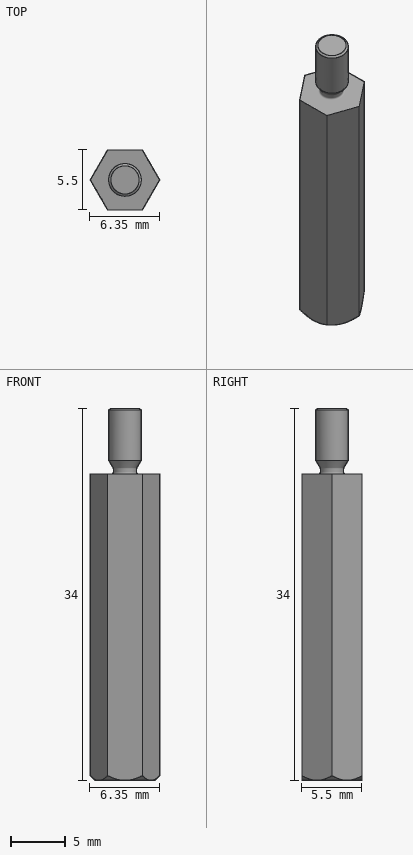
import cadquery as cq
import math

TOTAL_HEIGHT = 34.0
STUD_HEIGHT = 6.0
BODY_HEIGHT = TOTAL_HEIGHT - STUD_HEIGHT
ACROSS_FLATS = 5.5
ACROSS_CORNERS = ACROSS_FLATS / math.cos(math.radians(30))
BOTTOM_FACE_DIAMETER = ACROSS_FLATS

STUD_RADIUS = 3.0 / 2
NECK_RADIUS = 2.15 / 2
NECK_FILLET = 0.153
NECK_HEIGHT = 0.5
RELIEF_ANGLE = 30.0
TIP_CHAMFER_WIDTH = 0.2
TIP_CHAMFER_HEIGHT = 0.15


def make_body():
    """Hexagonal prism whose lower corners are trimmed by a 45 degree cone."""
    prism = cq.Workplane("XY").polygon(6, ACROSS_CORNERS).extrude(BODY_HEIGHT)
    bottom_radius = BOTTOM_FACE_DIAMETER / 2
    envelope = (
        cq.Workplane("XZ")
        .moveTo(0, 0)
        .lineTo(bottom_radius, 0)
        .lineTo(bottom_radius + BODY_HEIGHT, BODY_HEIGHT)
        .lineTo(0, BODY_HEIGHT)
        .close()
        .revolve(360, (0, 0), (0, 1))
    )
    return prism.intersect(envelope)


def make_stud():
    """Revolved stud: filleted neck, tapered relief, shank and chamfered tip."""
    angle = math.radians(RELIEF_ANGLE)
    neck_top = BODY_HEIGHT + NECK_HEIGHT
    shank_bottom = neck_top + (STUD_RADIUS - NECK_RADIUS) / math.tan(angle)

    tangent_length = NECK_FILLET * math.tan(angle / 2)
    blend_start = neck_top - tangent_length
    fillet_center = NECK_RADIUS + NECK_FILLET

    def on_upper_fillet(turn):
        return (
            fillet_center - NECK_FILLET * math.cos(turn),
            blend_start + NECK_FILLET * math.sin(turn),
        )

    lower_fillet_middle = (
        fillet_center - NECK_FILLET * math.cos(math.pi / 4),
        BODY_HEIGHT + NECK_FILLET * (1 - math.sin(math.pi / 4)),
    )
    return (
        cq.Workplane("XZ")
        .moveTo(0, BODY_HEIGHT)
        .lineTo(fillet_center, BODY_HEIGHT)
        .threePointArc(lower_fillet_middle, (NECK_RADIUS, BODY_HEIGHT + NECK_FILLET))
        .lineTo(NECK_RADIUS, blend_start)
        .threePointArc(on_upper_fillet(angle / 2), on_upper_fillet(angle))
        .lineTo(STUD_RADIUS, shank_bottom)
        .lineTo(STUD_RADIUS, TOTAL_HEIGHT - TIP_CHAMFER_HEIGHT)
        .lineTo(STUD_RADIUS - TIP_CHAMFER_WIDTH, TOTAL_HEIGHT)
        .lineTo(0, TOTAL_HEIGHT)
        .close()
        .revolve(360, (0, 0), (0, 1))
    )


result = make_body().union(make_stud())